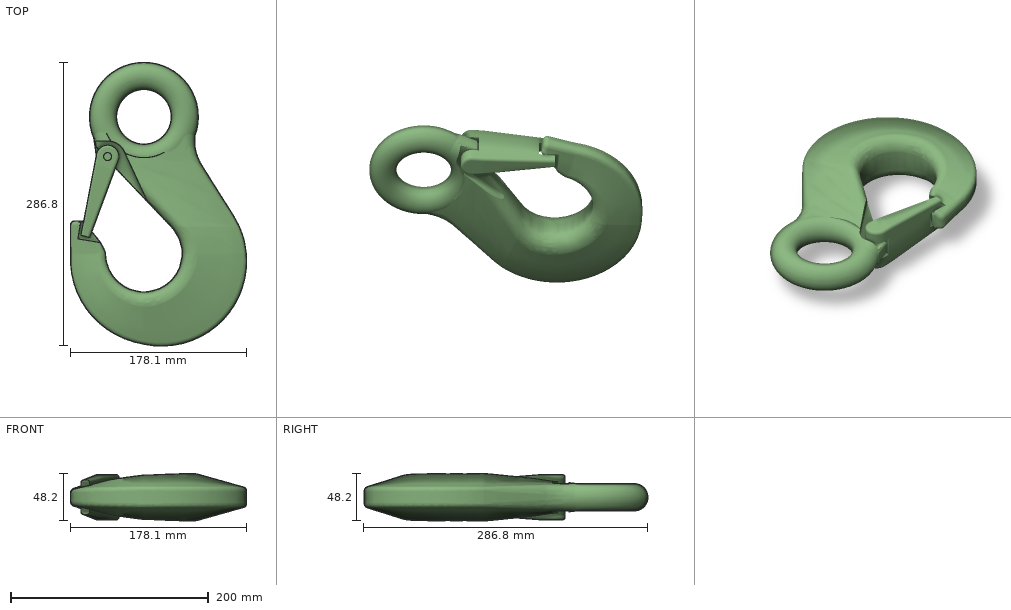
import math

import cadquery as cq


EYE_Y = 138.3
EYE_HOLE_RADIUS = 27.5
EYE_OUTER_RADIUS = 55.0
TUBE_RADIUS = (EYE_OUTER_RADIUS - EYE_HOLE_RADIUS) / 2
RING_RADIUS = EYE_HOLE_RADIUS + TUBE_RADIUS

BOWL_RADIUS = 38.7
BACK_CENTRE = (17.8, -7.5)
BACK_RADIUS = 86.0
HEEL_CENTRE = (11.8, -5.7)
HEEL_RADIUS = 86.0
TIP_OUTER_X = HEEL_CENTRE[0] - HEEL_RADIUS
BACK_END_Y = 43.0
NECK_CENTRE = (97.3, 114.0)
NECK_RADIUS = 46.0
NECK_START_Y = 91.0
THROAT_ANGLE = math.radians(43.6)
THROAT_END_Y = 108.2
TIP_TOP_Y = 33.0
NOSE_ROUND = 4.3

TIP_SECTION = (13.8, 7.7, 5.7, 5.2)
BOTTOM_SECTION = (27.0, 9.8, 11.8, 4.5)
SIDE_SECTION = (27.8, 9.5, 12.3, 4.5)
NECK_SECTION = (13.2, 13.2, 12.5, 12.5)
NECK_END_HALF = 52.2
SHANK_START_Y = 27.3
BOWL_STEPS = 4
TIP_ANGLE = 180
BOTTOM_ANGLE = 270
QUARTER = 90
SHANK_END_Y = 126.3
SHANK_RUNS = (
    (0.0, 13.0, SHANK_START_Y),
    (SHANK_START_Y, 40.2, 57.5, 74.5, NECK_START_Y),
    (NECK_START_Y, 99.5, THROAT_END_Y),
    (THROAT_END_Y, 114.8, SHANK_END_Y),
)
TIP_EDGE = ((TIP_TOP_Y, -61.7), (21.8, -52.2), (11.5, -44.2))

PIVOT = (-36.7, 98.0)
TONGUE_HALF = 8.0
TONGUE_NOSE_RADIUS = 9.8
TONGUE_ROUND = 3.5
TONGUE_LOW_Y = 58.8
TONGUE_TOP_Y = 116.8
TONGUE_FRONT_CORNER = (-48.0, 96.5)
TONGUE_BURIED_CORNERS = ((-14.3, 104.7), (9.2, TONGUE_LOW_Y))
SEAT_TOP_Y = 114.0
SEAT_CORNER_RADIUS = 18.7
SEAT_ROUND = 1.5
MATCH = 0.03
SEAT_END = (6.3, 46.8)
SEAT_LEFT_X = -69.0
CUT_HEIGHT = 34.5

TIP_SEAT_HALF = 7.0
TIP_SEAT_CORNER = (-67.0, 15.0)
TIP_SEAT_UPPER = (-63.0, 36.0)
TIP_SEAT_RIGHT = (-34.5, 9.5)

PIN_RADIUS = 4.0
EAR_RADIUS = 11.5
LATCH_LENGTH = 83.8
LATCH_END_HALF = 4.5
LATCH_TILT = -15.6
EAR_TOP_HALF = 23.0
EAR_END_HALF = 17.5
EAR_TAPER_START = 11.2
SLOT_HALF = 8.5
NOTCH_HALF = 9.8
WEB_THICKNESS = 3.5
WEB_TOP = 6.5
WEB_BOTTOM = 67.7
EAR_ROUND = 3.0


def blend(first, second, share):
    return tuple(a + (b - a) * share for a, b in zip(first, second))


def section_wire(inner, outer, shape):
    """Closed section on the vertical plane from an inner to an outer plan point."""
    inner_height, outer_height, inner_round, outer_round = shape
    width = math.dist(inner, outer)
    slope = math.atan2(inner_height - outer_height, width)

    def rounded_corner(at, height, radius, inward):
        """Start, middle and end of the rounding between a wall and the sloping face."""
        half_angle = (math.pi / 2 - inward * slope) / 2
        tangent = radius / math.tan(half_angle)
        wall = (at, height - tangent)
        face = (at + inward * tangent * math.cos(slope), height - inward * tangent * math.sin(slope))
        centre = (at + inward * radius, height - tangent)
        bisector = math.atan2(height - centre[1], at - centre[0])
        middle = (centre[0] + radius * math.cos(bisector), centre[1] + radius * math.sin(bisector))
        return wall, middle, face

    inner_wall, inner_mid, inner_face = rounded_corner(0, inner_height, inner_round, 1)
    outer_wall, outer_mid, outer_face = rounded_corner(width, outer_height, outer_round, -1)

    def below(point):
        return (point[0], -point[1])

    plane = cq.Plane(
        origin=(inner[0], inner[1], 0),
        xDir=(outer[0] - inner[0], outer[1] - inner[1], 0),
        normal=(outer[1] - inner[1], inner[0] - outer[0], 0),
    )
    return (
        cq.Workplane(plane)
        .moveTo(*below(inner_wall))
        .lineTo(*inner_wall)
        .threePointArc(inner_mid, inner_face)
        .lineTo(*outer_face)
        .threePointArc(outer_mid, outer_wall)
        .lineTo(*below(outer_wall))
        .threePointArc(below(outer_mid), below(outer_face))
        .lineTo(*below(inner_face))
        .threePointArc(below(inner_mid), below(inner_wall))
        .close()
        .val()
    )


def arc_x(centre, radius, y, side):
    return centre[0] + side * math.sqrt(radius**2 - (y - centre[1]) ** 2)


def ray_length(centre, radius, direction):
    """Distance from the bowl centre to an arc along a direction."""
    along = centre[0] * direction[0] + centre[1] * direction[1]
    return along + math.sqrt(along**2 + radius**2 - centre[0] ** 2 - centre[1] ** 2)


def shank_inner_x(y):
    tangent_x = BOWL_RADIUS * math.cos(THROAT_ANGLE)
    tangent_y = BOWL_RADIUS * math.sin(THROAT_ANGLE)
    if y <= tangent_y:
        return math.sqrt(BOWL_RADIUS**2 - y**2)
    throat_x = tangent_x - (min(y, THROAT_END_Y) - tangent_y) * math.tan(THROAT_ANGLE)
    if y <= THROAT_END_Y:
        return throat_x
    share = (y - THROAT_END_Y) / (SHANK_END_Y - THROAT_END_Y)
    return throat_x + (-NECK_END_HALF - throat_x) * share


def shank_outer_x(y):
    if y <= BACK_END_Y:
        return arc_x(BACK_CENTRE, BACK_RADIUS, y, 1)
    if y <= NECK_START_Y:
        start = arc_x(BACK_CENTRE, BACK_RADIUS, BACK_END_Y, 1)
        end = arc_x(NECK_CENTRE, NECK_RADIUS, NECK_START_Y, -1)
        return start + (end - start) * (y - BACK_END_Y) / (NECK_START_Y - BACK_END_Y)
    if y <= NECK_CENTRE[1]:
        return arc_x(NECK_CENTRE, NECK_RADIUS, y, -1)
    narrowest = NECK_CENTRE[0] - NECK_RADIUS
    share = (y - NECK_CENTRE[1]) / (SHANK_END_Y - NECK_CENTRE[1])
    return narrowest + (NECK_END_HALF - narrowest) * share


def bowl_section(angle):
    """Section along a ray from the bowl centre, at an angle in degrees from +X."""
    direction = (math.cos(math.radians(angle)), math.sin(math.radians(angle)))
    if angle < BOTTOM_ANGLE:
        reach = ray_length(HEEL_CENTRE, HEEL_RADIUS, direction)
        shape = blend(TIP_SECTION, BOTTOM_SECTION, (angle - TIP_ANGLE) / QUARTER)
    else:
        reach = ray_length(BACK_CENTRE, BACK_RADIUS, direction)
        shape = blend(BOTTOM_SECTION, SIDE_SECTION, (angle - BOTTOM_ANGLE) / QUARTER)
    inner = tuple(BOWL_RADIUS * part for part in direction)
    outer = tuple(reach * part for part in direction)
    return section_wire(inner, outer, shape)


def shank_section(y):
    share = max(0, y - SHANK_START_Y) / (SHANK_END_Y - SHANK_START_Y)
    shape = blend(SIDE_SECTION, NECK_SECTION, share)
    return section_wire((shank_inner_x(y), y), (shank_outer_x(y), y), shape)


def hook_blank():
    """Curved hook without the eye and the latch seats, in lofts that meet at shared sections."""
    tip = [section_wire((x, y), (TIP_OUTER_X, y), TIP_SECTION) for y, x in TIP_EDGE]
    turns = [QUARTER * step / BOWL_STEPS for step in range(BOWL_STEPS + 1)]
    heel = [bowl_section(TIP_ANGLE + turn) for turn in turns]
    back = [bowl_section(BOTTOM_ANGLE + turn) for turn in turns]
    tip.append(heel[0])
    runs = [tip, heel, back]
    for levels in SHANK_RUNS:
        runs.append([shank_section(y) for y in levels])
    lofts = [cq.Workplane(cq.Solid.makeLoft(run)) for run in runs]
    lofts[0] = lofts[0].faces(">Y").edges().fillet(NOSE_ROUND)
    blank = lofts[0]
    for loft in lofts[1:]:
        blank = blank.union(loft)
    return blank


def eye_ring():
    centre = cq.Vector(0, EYE_Y, 0)
    return cq.Workplane(cq.Solid.makeTorus(RING_RADIUS, TUBE_RADIUS, centre, cq.Vector(0, 0, 1)))


def eye_opening():
    return cq.Workplane().center(0, EYE_Y).circle(RING_RADIUS).extrude(CUT_HEIGHT, both=True)


def on_both_faces(sketch, floor):
    """Cutters above and below a central web of the given half thickness."""
    upper = sketch.extrude(CUT_HEIGHT).translate((0, 0, floor))
    return upper.union(upper.mirror("XY"))


def round_floor(body, wall, floor):
    """Round the corner between the wall and both floors of a seat, leaving its open sides sharp."""
    outline = wall.wire().val()
    corners = []
    for edge in body.faces("|Z").edges().vals():
        middle = edge.positionAt(0.5)
        on_wall = outline.distance(cq.Vertex.makeVertex(middle.x, middle.y, 0)) < MATCH
        if on_wall and abs(abs(middle.z) - floor) < MATCH:
            corners.append(edge)
    return body.newObject(corners).fillet(SEAT_ROUND)


def pivot_seat_wall():
    """Wall of the latch seat: level, round the pivot, then down along the shank."""
    centre = (PIVOT[0], SEAT_TOP_Y - SEAT_CORNER_RADIUS)
    reach = math.dist(centre, SEAT_END)
    towards_end = math.atan2(SEAT_END[1] - centre[1], SEAT_END[0] - centre[0])
    leave = towards_end + math.acos(SEAT_CORNER_RADIUS / reach)
    middle = (leave + math.pi / 2) / 2

    def on_arc(angle):
        return (
            centre[0] + SEAT_CORNER_RADIUS * math.cos(angle),
            centre[1] + SEAT_CORNER_RADIUS * math.sin(angle),
        )

    return (
        cq.Workplane()
        .moveTo(SEAT_LEFT_X, SEAT_TOP_Y)
        .lineTo(*on_arc(math.pi / 2))
        .threePointArc(on_arc(middle), on_arc(leave))
        .lineTo(*SEAT_END)
    )


def cut_pivot_seat(body):
    sketch = pivot_seat_wall().lineTo(SEAT_LEFT_X, SEAT_END[1]).close()
    body = body.cut(on_both_faces(sketch, TONGUE_HALF))
    return round_floor(body, pivot_seat_wall(), TONGUE_HALF)


def tongue():
    """Web between the latch ears, rounded off about the pivot and buried in the seat wall."""
    web = (
        cq.Workplane()
        .polyline(
            [
                (shank_inner_x(TONGUE_LOW_Y), TONGUE_LOW_Y),
                PIVOT,
                TONGUE_FRONT_CORNER,
                (shank_inner_x(THROAT_END_Y), THROAT_END_Y),
                (shank_inner_x(TONGUE_TOP_Y), TONGUE_TOP_Y),
                (PIVOT[0], TONGUE_TOP_Y),
                *TONGUE_BURIED_CORNERS,
            ]
        )
        .close()
        .extrude(TONGUE_HALF, both=True)
    )
    nose = cq.Workplane().center(*PIVOT).circle(TONGUE_NOSE_RADIUS).extrude(TONGUE_HALF, both=True)
    return web.union(nose).faces("|Z").edges().fillet(TONGUE_ROUND)


def tip_seat_wall():
    return cq.Workplane().polyline([TIP_SEAT_UPPER, TIP_SEAT_CORNER, TIP_SEAT_RIGHT])


def cut_tip_seat(body):
    sketch = tip_seat_wall().lineTo(TIP_SEAT_RIGHT[0], TIP_SEAT_UPPER[1]).close()
    body = body.cut(on_both_faces(sketch, TIP_SEAT_HALF))
    return round_floor(body, tip_seat_wall(), TIP_SEAT_HALF)


def make_hook():
    body = hook_blank().cut(eye_opening()).union(eye_ring())
    body = cut_pivot_seat(body).union(tongue())
    body = cut_tip_seat(body)
    pin = cq.Workplane().center(*PIVOT).circle(PIN_RADIUS).extrude(EAR_TOP_HALF, both=True)
    return body.union(pin)


def latch_lean():
    """Angle between the latch axis and each long edge, which touches the ear circle."""
    return math.asin((EAR_RADIUS - LATCH_END_HALF) / LATCH_LENGTH)


def latch_block():
    """Tapered latch outline with its ears drawing closer towards the free end."""
    lean = latch_lean()
    tangent_x = EAR_RADIUS * math.cos(lean)
    tangent_y = -EAR_RADIUS * math.sin(lean)
    outline = (
        cq.Workplane()
        .moveTo(-LATCH_END_HALF, -LATCH_LENGTH)
        .lineTo(LATCH_END_HALF, -LATCH_LENGTH)
        .lineTo(tangent_x, tangent_y)
        .threePointArc((0, EAR_RADIUS), (-tangent_x, tangent_y))
        .close()
        .extrude(EAR_TOP_HALF, both=True)
    )
    side = (
        cq.Workplane("YZ")
        .polyline(
            [
                (EAR_RADIUS, -EAR_TOP_HALF),
                (EAR_RADIUS, EAR_TOP_HALF),
                (-EAR_TAPER_START, EAR_TOP_HALF),
                (-LATCH_LENGTH, EAR_END_HALF),
                (-LATCH_LENGTH, -EAR_END_HALF),
                (-EAR_TAPER_START, -EAR_TOP_HALF),
            ]
        )
        .close()
        .extrude(2 * EAR_RADIUS, both=True)
    )
    block = outline.intersect(side)
    ear_rims = "not(|Z or |X) or (<Y and |X)"
    return block.edges(ear_rims).fillet(EAR_ROUND)


def slot_cutter(top_y, bottom_y, half_width):
    """Slot right through the latch from front to back, between two heights."""
    reach = 2 * EAR_RADIUS
    return (
        cq.Workplane()
        .moveTo(-reach, bottom_y)
        .lineTo(reach, bottom_y)
        .lineTo(reach, top_y)
        .lineTo(-reach, top_y)
        .close()
        .extrude(half_width, both=True)
    )


def web_pocket():
    """Space between the ears, leaving a web of even thickness along the front."""
    lean = latch_lean()
    offset = EAR_RADIUS - WEB_THICKNESS
    back_x = 2 * EAR_RADIUS
    top_y = 2 * EAR_RADIUS
    bottom_y = -LATCH_LENGTH - EAR_RADIUS

    def web_back_x(y):
        return -(y * math.sin(lean) + offset) / math.cos(lean)

    return (
        cq.Workplane()
        .polyline(
            [
                (web_back_x(top_y), top_y),
                (web_back_x(bottom_y), bottom_y),
                (back_x, bottom_y),
                (back_x, top_y),
            ]
        )
        .close()
        .extrude(SLOT_HALF, both=True)
    )


def make_latch():
    latch = latch_block()
    latch = latch.cut(web_pocket())
    latch = latch.cut(slot_cutter(2 * EAR_RADIUS, -WEB_TOP, NOTCH_HALF))
    latch = latch.cut(slot_cutter(-WEB_BOTTOM, -2 * LATCH_LENGTH, SLOT_HALF))
    latch = latch.cut(cq.Workplane().circle(PIN_RADIUS).extrude(EAR_TOP_HALF, both=True))
    return latch.rotate((0, 0, 0), (0, 0, 1), LATCH_TILT).translate((*PIVOT, 0))


hook = make_hook()
latch = make_latch()

result = cq.Compound.makeCompound([hook.val(), latch.val()])